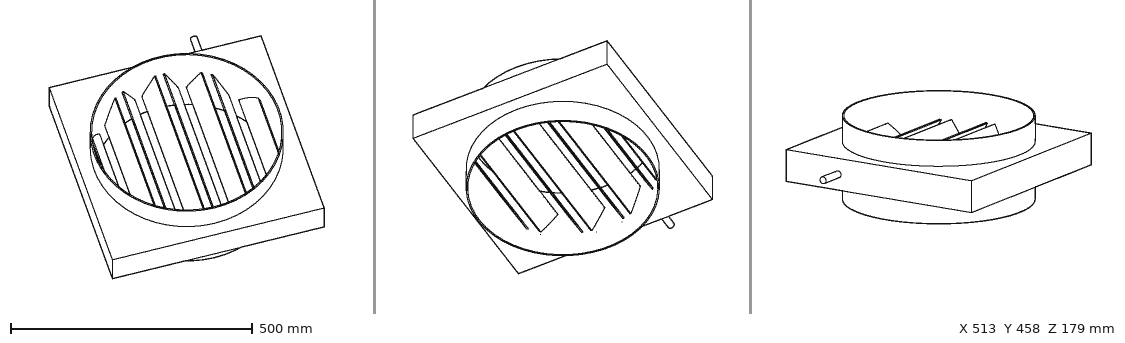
import cadquery as cq

overall_x = 513.0
casing_x = 456.0
casing_y = 458.0
casing_height = 68.0

duct_diameter = 400.0
duct_wall = 3.0
duct_height = 179.0
duct_radius = duct_diameter / 2
bore_radius = duct_radius - duct_wall

blade_count = 8
blade_row_length = 379.5
blade_pitch = blade_row_length / blade_count
blade_width = 63.0
blade_thickness = 3.0
blade_tilt = 63.0

shaft_diameter = 15.0
shaft_length = overall_x - casing_x
shaft_y = 100.5


def vertical_cylinder(radius):
    """Cylinder on the duct axis, as tall as the duct."""
    return cq.Workplane("XY").cylinder(duct_height, radius)


def make_housing():
    """Casing and duct with the bore open from end to end."""
    casing = cq.Workplane("XY").box(casing_x, casing_y, casing_height)
    return casing.union(vertical_cylinder(duct_radius)).cut(vertical_cylinder(bore_radius))


def make_blade(y, tilt):
    """Flat tilted blade whose ends follow the duct and sink into half of its wall."""
    blade = cq.Workplane("XY").box(duct_diameter, blade_width, blade_thickness)
    blade = blade.rotate((0, 0, 0), (1, 0, 0), tilt).translate((0, y, 0))
    return blade.intersect(vertical_cylinder(duct_radius - duct_wall / 2))


def make_shaft():
    """Round shaft standing out from the -X face of the casing."""
    face = cq.Workplane("YZ", origin=(-casing_x / 2, shaft_y, 0))
    return face.circle(shaft_diameter / 2).extrude(-shaft_length)


result = make_housing().union(make_shaft())

first_blade_y = -(blade_count - 1) * blade_pitch / 2
for index in range(blade_count):
    tilt = -blade_tilt if index % 2 == 0 else blade_tilt
    result = result.union(make_blade(first_blade_y + index * blade_pitch, tilt))